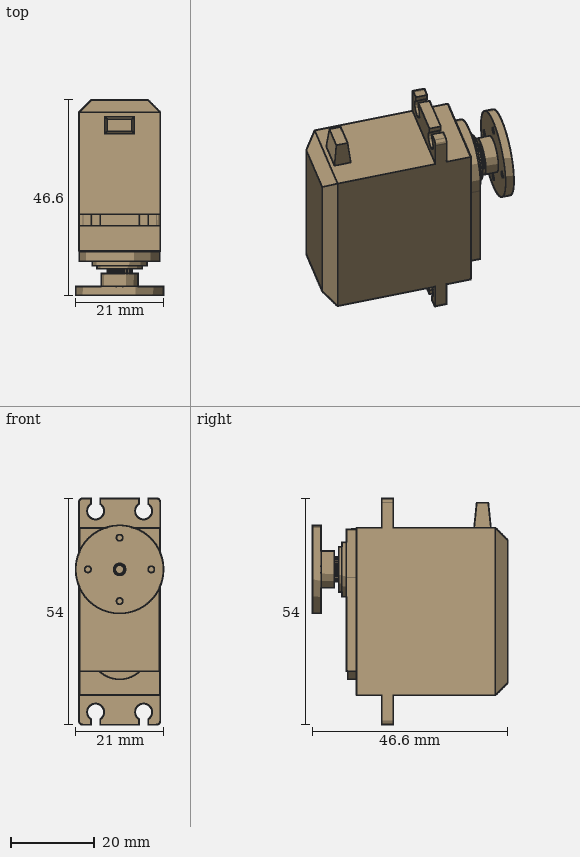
import cadquery as cq
import math


CASE_WIDTH = 19.45
CASE_HEIGHT = 40.0
CASE_DEPTH = 36.2
BACK_CHAMFER = 2.95
FRONT_CHAMFER = 0.15

FLANGE_HEIGHT = 54.05
FLANGE_FRONT_Y = 6.1
FLANGE_THICKNESS = 2.8
FLANGE_CORNER_RADIUS = 0.95
MOUNT_HOLE_DIAMETER = 4.0
MOUNT_SLOT_WIDTH = 2.1
MOUNT_HOLE_X = 5.75
MOUNT_HOLE_Z = 24.0

AXIS_Z = 10.05

COVER_WIDTH = 18.9
COVER_ROUND_DIAMETER = 19.3
COVER_THICKNESS = 2.3
COVER_BOTTOM_Z = -14.2

DISC_DIAMETER = 14.0
DISC_CENTER_Z = -9.2
DISC_THICKNESS = 2.05

LARGE_BOSS_DIAMETER = 13.1
LARGE_BOSS_LENGTH = 1.1
SMALL_BOSS_DIAMETER = 10.85
SMALL_BOSS_LENGTH = 0.75

OUTLET_BASE_X = 7.0
OUTLET_BASE_Y = 4.05
OUTLET_TIP_X = 5.85
OUTLET_TIP_Y = 2.8
OUTLET_HEIGHT = 6.0
OUTLET_FROM_BACK = 6.05

HORN_DIAMETER = 21.0
HORN_THICKNESS = 2.1
OVERALL_DEPTH = 46.65
HORN_FRONT_Y = CASE_DEPTH - OVERALL_DEPTH
HUB_DIAMETER = 8.85
HUB_LENGTH = 3.15
HORN_BORE_DIAMETER = 2.85
HORN_HOLE_DIAMETER = 1.5
HORN_HOLE_CIRCLE_RADIUS = 7.55
HORN_HOLE_COUNT = 4

SPLINE_TEETH = 25
SPLINE_TIP_DIAMETER = 6.0
SPLINE_ROOT_DIAMETER = 4.95
TOOTH_TIP_FRACTION = 0.25
TOOTH_FOOT_FRACTION = 0.8
SHAFT_SCREW_HOLE_DIAMETER = 2.1

COVER_FRONT_Y = -COVER_THICKNESS
LARGE_BOSS_FRONT_Y = COVER_FRONT_Y - LARGE_BOSS_LENGTH
SMALL_BOSS_FRONT_Y = LARGE_BOSS_FRONT_Y - SMALL_BOSS_LENGTH
HORN_BACK_Y = HORN_FRONT_Y + HORN_THICKNESS
HUB_BACK_Y = HORN_BACK_Y + HUB_LENGTH


def front_plane(y):
    """Sketch plane at the given Y: local x is X, local y is Z, and extrusion goes toward -Y."""
    return cq.Workplane("XZ", origin=(0, y, 0))


def cylinder(diameter, center_z, back_y, front_y):
    """Cylinder along Y on the plane X = 0."""
    return front_plane(back_y).center(0, center_z).circle(diameter / 2).extrude(back_y - front_y)


def make_case():
    block = front_plane(CASE_DEPTH).rect(CASE_WIDTH, CASE_HEIGHT).extrude(CASE_DEPTH)
    return block.faces(">Y").chamfer(BACK_CHAMFER).faces("<Y").chamfer(FRONT_CHAMFER)


def make_flange():
    back_y = FLANGE_FRONT_Y + FLANGE_THICKNESS
    plate = front_plane(back_y).rect(CASE_WIDTH, FLANGE_HEIGHT).extrude(FLANGE_THICKNESS)
    plate = plate.edges("|Y").fillet(FLANGE_CORNER_RADIUS)
    hole_centers = [(sx * MOUNT_HOLE_X, sz * MOUNT_HOLE_Z) for sx in (-1, 1) for sz in (-1, 1)]
    holes = front_plane(back_y).pushPoints(hole_centers).circle(MOUNT_HOLE_DIAMETER / 2)
    plate = plate.cut(holes.extrude(FLANGE_THICKNESS))

    slot_length = FLANGE_HEIGHT / 2 - MOUNT_HOLE_Z
    slot_z = MOUNT_HOLE_Z + slot_length / 2
    slot_centers = [(sx * MOUNT_HOLE_X, sz * slot_z) for sx in (-1, 1) for sz in (-1, 1)]
    slots = front_plane(back_y).pushPoints(slot_centers).rect(MOUNT_SLOT_WIDTH, slot_length)
    return plate.cut(slots.extrude(FLANGE_THICKNESS))


def make_gear_cover():
    length = AXIS_Z - COVER_BOTTOM_Z
    straight = front_plane(0).center(0, COVER_BOTTOM_Z + length / 2).rect(COVER_WIDTH, length)
    rounded = cylinder(COVER_ROUND_DIAMETER, AXIS_Z, 0, COVER_FRONT_Y)
    return straight.extrude(COVER_THICKNESS).union(rounded)


def make_cable_outlet():
    base = cq.Workplane("XY", origin=(0, CASE_DEPTH - OUTLET_FROM_BACK, CASE_HEIGHT / 2))
    outline = base.rect(OUTLET_BASE_X, OUTLET_BASE_Y).workplane(offset=OUTLET_HEIGHT)
    return outline.rect(OUTLET_TIP_X, OUTLET_TIP_Y).loft(ruled=True)


def make_housing():
    housing = make_case().union(make_flange()).union(make_gear_cover())
    housing = housing.union(cylinder(DISC_DIAMETER, DISC_CENTER_Z, 0, -DISC_THICKNESS))
    housing = housing.union(cylinder(LARGE_BOSS_DIAMETER, AXIS_Z, COVER_FRONT_Y, LARGE_BOSS_FRONT_Y))
    housing = housing.union(
        cylinder(SMALL_BOSS_DIAMETER, AXIS_Z, LARGE_BOSS_FRONT_Y, SMALL_BOSS_FRONT_Y)
    )
    return housing.union(make_cable_outlet())


def make_spline():
    """Solid toothed bar from the boss face to the back of the horn plate."""
    tip_radius = SPLINE_TIP_DIAMETER / 2
    root_radius = SPLINE_ROOT_DIAMETER / 2
    pitch = 2 * math.pi / SPLINE_TEETH
    tip_half = pitch * TOOTH_TIP_FRACTION / 2
    foot_half = pitch * TOOTH_FOOT_FRACTION / 2
    points = []
    for tooth in range(SPLINE_TEETH):
        middle = -math.pi / 2 + tooth * pitch
        for radius, offset in (
            (root_radius, -foot_half),
            (tip_radius, -tip_half),
            (tip_radius, tip_half),
            (root_radius, foot_half),
        ):
            angle = middle + offset
            points.append((radius * math.cos(angle), radius * math.sin(angle)))
    outline = front_plane(SMALL_BOSS_FRONT_Y).center(0, AXIS_Z).polyline(points).close()
    return outline.extrude(SMALL_BOSS_FRONT_Y - HORN_BACK_Y)


def make_shaft():
    screw_hole = cylinder(SHAFT_SCREW_HOLE_DIAMETER, AXIS_Z, SMALL_BOSS_FRONT_Y, HORN_BACK_Y)
    return make_spline().cut(screw_hole)


def make_horn():
    plate = cylinder(HORN_DIAMETER, AXIS_Z, HORN_BACK_Y, HORN_FRONT_Y)
    horn = plate.union(cylinder(HUB_DIAMETER, AXIS_Z, HUB_BACK_Y, HORN_BACK_Y))
    horn = horn.cut(cylinder(HORN_BORE_DIAMETER, AXIS_Z, HORN_BACK_Y, HORN_FRONT_Y))
    holes = (
        front_plane(HORN_BACK_Y)
        .center(0, AXIS_Z)
        .polarArray(HORN_HOLE_CIRCLE_RADIUS, 0, 360, HORN_HOLE_COUNT)
        .circle(HORN_HOLE_DIAMETER / 2)
        .extrude(HORN_THICKNESS)
    )
    return horn.cut(holes).cut(make_spline())


housing = make_housing()
shaft = make_shaft()
horn = make_horn()

result = cq.Compound.makeCompound([housing.solids().val(), shaft.solids().val(), horn.solids().val()])